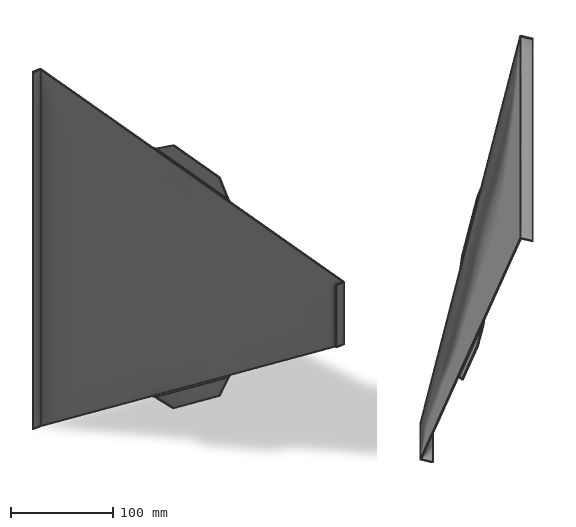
import cadquery as cq
import math

LENGTH = 369.0
DEPTH = 13.0
WIDE_END = 366.8
NARROW_END = 63.5
THICKNESS = 1.0

BACK_Y = DEPTH / 2
PANEL_FRONT_Y = BACK_Y - THICKNESS
LEFT_X = -LENGTH / 2
RIGHT_X = LENGTH / 2

TAB_ROOT_START = 136.0
TAB_JOGGLE_START = 141.0
TAB_OUTER_START = 162.7
TAB_OUTER_END = 218.5
TAB_ROOT_END = 230.5
TAB_REACH = 17.0
JOGGLE_REACH = 2.0
JOGGLE_OFFSET = THICKNESS
ROOT_OVERLAP = 2.0

EDGE_SLOPE = (WIDE_END - NARROW_END) / 2 / LENGTH
EDGE_ANGLE = math.atan(EDGE_SLOPE)


def edge_point(distance, reach=0.0):
    """X, Z point at a distance from the wide end, standing off the upper sloping edge."""
    rise = reach / math.cos(EDGE_ANGLE)
    return (LEFT_X + distance, WIDE_END / 2 - EDGE_SLOPE * distance + rise)


def extrude_xz(points):
    """Full-depth prism from an outline in X and Z."""
    return cq.Workplane("XZ", origin=(0, BACK_Y, 0)).polyline(points).close().extrude(DEPTH)


def make_panel():
    outline = [
        (LEFT_X, -WIDE_END / 2),
        (RIGHT_X, -NARROW_END / 2),
        (RIGHT_X, NARROW_END / 2),
        (LEFT_X, WIDE_END / 2),
    ]
    body = extrude_xz(outline)
    channel = cq.Workplane("XY").box(LENGTH - 2 * THICKNESS, DEPTH, WIDE_END)
    return body.cut(channel.translate((0, -THICKNESS, 0)))


def make_upper_tab():
    section = [
        (-ROOT_OVERLAP, BACK_Y),
        (0, BACK_Y),
        (JOGGLE_REACH, BACK_Y - JOGGLE_OFFSET),
        (TAB_REACH, BACK_Y - JOGGLE_OFFSET),
        (TAB_REACH, PANEL_FRONT_Y - JOGGLE_OFFSET),
        (JOGGLE_REACH, PANEL_FRONT_Y - JOGGLE_OFFSET),
        (0, PANEL_FRONT_Y),
        (-ROOT_OVERLAP, PANEL_FRONT_Y),
    ]
    edge_x, edge_z = edge_point(0)
    section_plane = cq.Plane(
        origin=(edge_x, 0, edge_z),
        xDir=(math.sin(EDGE_ANGLE), 0, math.cos(EDGE_ANGLE)),
        normal=(-math.cos(EDGE_ANGLE), 0, math.sin(EDGE_ANGLE)),
    )
    strip = cq.Workplane(section_plane).polyline(section).close().extrude(-LENGTH)
    outline = [
        edge_point(TAB_ROOT_START, -ROOT_OVERLAP),
        edge_point(TAB_ROOT_START),
        edge_point(TAB_JOGGLE_START, JOGGLE_REACH),
        edge_point(TAB_OUTER_START, TAB_REACH),
        edge_point(TAB_OUTER_END, TAB_REACH),
        edge_point(TAB_ROOT_END),
        edge_point(TAB_ROOT_END, -ROOT_OVERLAP),
    ]
    return strip.intersect(extrude_xz(outline))


upper_tab = make_upper_tab()
lower_tab = upper_tab.mirror("XY")
result = make_panel().union(upper_tab).union(lower_tab)